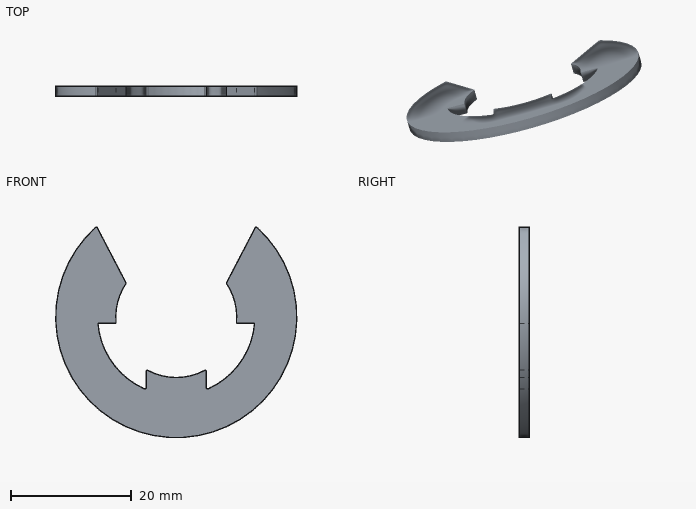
import cadquery as cq
import math

thickness = 1.7
outer_radius = 20.0
groove_radius = 13.0
grip_radius = 10.0
tooth_half_width = 5.0
shoulder_z = -1.05
mouth_corner_x = 8.28
mouth_angle = 27.5
corner_radius = 0.2


def plate(sketch):
    """Extrude an XZ outline to the full thickness, centred on Y = 0."""
    return sketch.extrude(thickness / 2, both=True)


def mouth():
    """Flared opening at the top, between the two horns."""
    corner_z = math.sqrt(grip_radius**2 - mouth_corner_x**2)
    top_z = outer_radius
    top_x = mouth_corner_x + (top_z - corner_z) * math.tan(math.radians(mouth_angle))
    outline = [
        (-mouth_corner_x, corner_z),
        (mouth_corner_x, corner_z),
        (top_x, top_z),
        (-top_x, top_z),
    ]
    return plate(cq.Workplane("XZ").polyline(outline).close())


def relief(side):
    """Clearance between the bottom tooth and one side tooth; side is 1 or -1."""
    tooth_root_z = -math.sqrt(groove_radius**2 - tooth_half_width**2)
    tooth_tip_z = -math.sqrt(grip_radius**2 - tooth_half_width**2)
    shoulder_root_x = math.sqrt(groove_radius**2 - shoulder_z**2)
    middle = groove_radius * math.sqrt(0.5)
    return plate(
        cq.Workplane("XZ")
        .moveTo(side * tooth_half_width, tooth_tip_z)
        .lineTo(side * tooth_half_width, tooth_root_z)
        .threePointArc((side * middle, -middle), (side * shoulder_root_x, shoulder_z))
        .lineTo(side * tooth_half_width, shoulder_z)
        .close()
    )


def corner_points():
    """XZ positions of the right-half corners, inside and outside, that are rounded."""
    slope = math.tan(math.radians(mouth_angle))
    corner_z = math.sqrt(grip_radius**2 - mouth_corner_x**2)
    offset = mouth_corner_x - slope * corner_z
    a = 1 + slope**2
    b = offset * slope
    horn_z = (-b + math.sqrt(b**2 - a * (offset**2 - outer_radius**2))) / a
    return [
        (offset + slope * horn_z, horn_z),
        (mouth_corner_x, corner_z),
        (math.sqrt(grip_radius**2 - shoulder_z**2), shoulder_z),
        (tooth_half_width, -math.sqrt(grip_radius**2 - tooth_half_width**2)),
        (tooth_half_width, -math.sqrt(groove_radius**2 - tooth_half_width**2)),
    ]


result = plate(cq.Workplane("XZ").circle(outer_radius).circle(grip_radius))
result = result.cut(mouth())
for side in (1, -1):
    result = result.cut(relief(side))

for side in (1, -1):
    for x, z in corner_points():
        corner = cq.selectors.NearestToPointSelector((side * x, 0, z))
        result = result.edges("|Y").edges(corner).fillet(corner_radius)